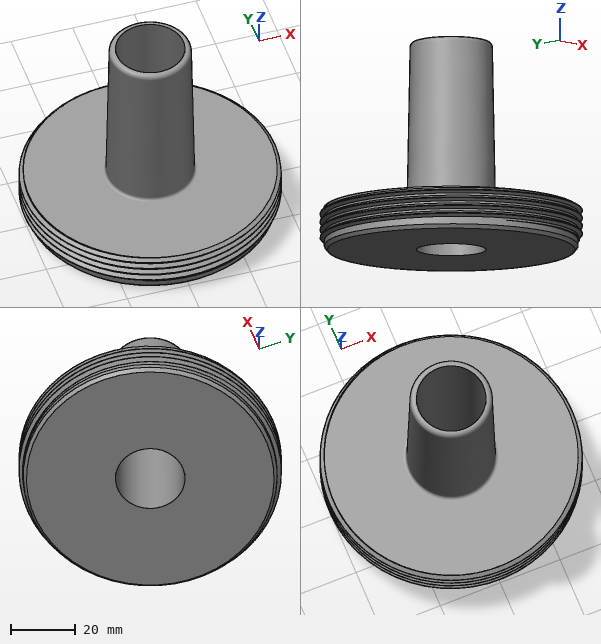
import cadquery as cq
import math

disc_thickness = 13.0
core_radius = 78.6 / 2
chamfer_height = 1.2
chamfer_inset = 1.0

thread_radius = 81.2 / 2
thread_pitch = 2.45
thread_bottom = 3.0
crest_height_at_start = 2.87
crest_width = 0.25
flank_angle = 30.0
root_overlap = 0.2
turns_beyond_ends = 1

total_height = 65.0
tube_base_radius = 27.5 / 2
tube_tip_radius = 25.5 / 2
bore_radius = 21.5 / 2
base_fillet = 1.0
tip_fillet = 1.5


def make_core():
    """Plain disc under the thread, chamfered around its bottom edge."""
    return (
        cq.Workplane("XZ")
        .polyline([
            (0, 0),
            (core_radius - chamfer_inset, 0),
            (core_radius, chamfer_height),
            (core_radius, disc_thickness),
            (0, disc_thickness),
        ])
        .close()
        .revolve(360, (0, 0, 0), (0, 1, 0))
    )


def make_tube():
    """Tapered tube standing on the disc, with a rounded rim."""
    tube = (
        cq.Workplane("XZ")
        .moveTo(0, disc_thickness)
        .lineTo(tube_base_radius, disc_thickness)
        .lineTo(tube_tip_radius, total_height)
        .lineTo(0, total_height)
        .close()
        .revolve(360, (0, 0, 0), (0, 1, 0))
    )
    return tube.faces(">Z").edges().fillet(tip_fillet)


def make_thread():
    """Helical ridge whose two ends are trimmed by cones."""
    flank_slope = math.tan(math.radians(flank_angle))
    inner_radius = core_radius - root_overlap
    half_crest = crest_width / 2
    half_root = half_crest + (thread_radius - inner_radius) * flank_slope
    helix_start = crest_height_at_start - turns_beyond_ends * thread_pitch
    turns = math.ceil((disc_thickness - thread_bottom) / thread_pitch) + 2 * turns_beyond_ends

    helix = cq.Wire.makeHelix(thread_pitch, turns * thread_pitch, inner_radius)
    ridge = (
        cq.Workplane("XZ")
        .polyline([
            (inner_radius, -half_root),
            (thread_radius, -half_crest),
            (thread_radius, half_crest),
            (inner_radius, half_root),
        ])
        .close()
        .sweep(cq.Workplane(helix), isFrenet=True)
        .translate((0, 0, helix_start))
    )

    trim_radius = thread_radius + root_overlap
    trim_rise = (trim_radius - core_radius) * flank_slope
    trim_inner = inner_radius - root_overlap
    envelope = (
        cq.Workplane("XZ")
        .polyline([
            (trim_inner, thread_bottom),
            (core_radius, thread_bottom),
            (trim_radius, thread_bottom + trim_rise),
            (trim_radius, disc_thickness - trim_rise),
            (core_radius, disc_thickness),
            (trim_inner, disc_thickness),
        ])
        .close()
        .revolve(360, (0, 0, 0), (0, 1, 0))
    )
    return ridge.intersect(envelope)


def make_body():
    """Disc and tube joined by a fillet, with the bore through both."""
    solid = make_core().union(make_tube())
    foot_edge = cq.selectors.RadiusNthSelector(0)
    solid = solid.faces("+Z").faces("<Z").edges(foot_edge).fillet(base_fillet)
    bore = cq.Workplane("XY").circle(bore_radius).extrude(total_height)
    return solid.cut(bore)


result = make_body().union(make_thread())